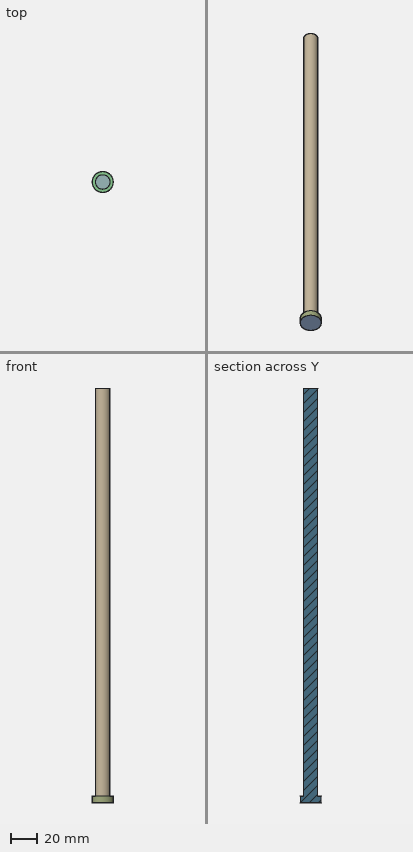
import cadquery as cq

total_length = 315.0
head_diameter = 16.0
head_height = 5.0
shaft_diameter = 11.0

head = cq.Workplane("XY").circle(head_diameter / 2).extrude(head_height)
shaft = cq.Workplane("XY").circle(shaft_diameter / 2).extrude(total_length)

result = head.union(shaft)